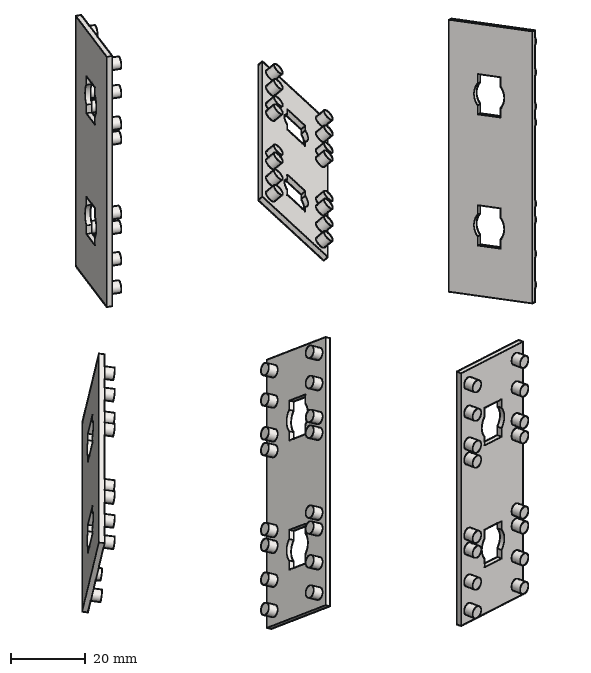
import cadquery as cq

plate_width = 25.5
plate_height = 75.4
total_depth = 4.6
plate_thickness = 1.6

pin_diameter = 3.5
pin_length = total_depth - plate_thickness
pin_column_offset = 9.7
pin_heights = [11.2, 15.7, 25.2, 33.7]

window_width = 6.9
window_height = 11.15
window_bore_diameter = 9.2
window_x = -0.45
window_z = 18.2


def make_plate():
    """Flat plate centred on X and Z, with its front face at Y = 0."""
    return cq.Workplane("XY").box(
        plate_width, plate_thickness, plate_height, centered=(True, False, True)
    )


def make_window_cutters():
    """Through cutters for the two windows."""
    plane = cq.Workplane("XZ").pushPoints([(window_x, window_z), (window_x, -window_z)])
    slots = plane.rect(window_width, window_height).extrude(-plate_thickness)
    bores = plane.circle(window_bore_diameter / 2).extrude(-plate_thickness)
    return slots.union(bores)


def make_pins():
    """Round pins standing on the back face of the plate."""
    points = [
        (side * pin_column_offset, end * height)
        for side in (-1, 1)
        for end in (-1, 1)
        for height in pin_heights
    ]
    back_face = cq.Workplane("XZ", origin=(0, plate_thickness, 0))
    return back_face.pushPoints(points).circle(pin_diameter / 2).extrude(-pin_length)


result = make_plate().cut(make_window_cutters()).union(make_pins())